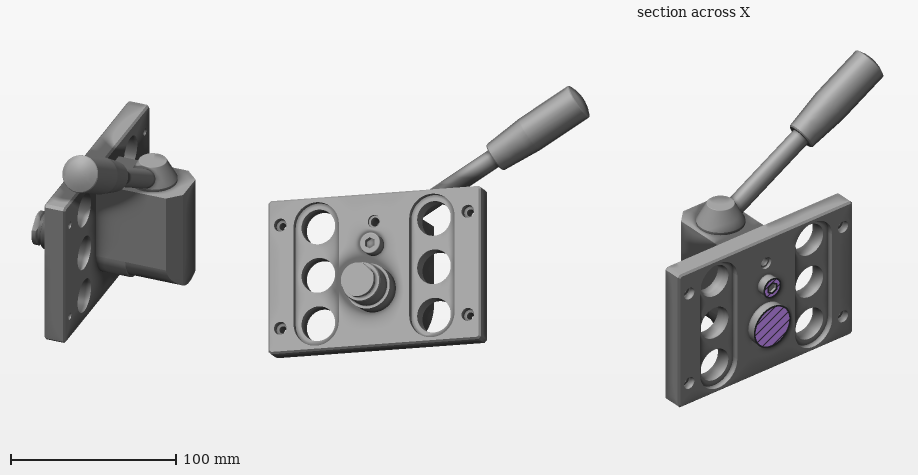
import cadquery as cq
import math


PLATE_THICKNESS = 14.0
PLATE_WIDTH = 136.0
PLATE_HEIGHT = 95.0
PLATE_CORNER_CHAMFER = 1.6
PLATE_RIM_CHAMFER = 1.2

WINDOW_DIAMETER = 21.5
WINDOW_PITCH = 30.0
WINDOW_COLUMN_Y = 37.0
RECESS_WIDTH = 29.0
RECESS_DEPTH = 4.0

MOUNT_Y = 60.0
MOUNT_Z = 32.0
MOUNT_HOLE_DIAMETER = 4.5
MOUNT_BORE_DIAMETER = 8.0
MOUNT_BORE_DEPTH = 5.0

BLOCK_WIDTH = 36.0
BLOCK_END_X = 67.6
BLOCK_TOP_Z = 38.0
BLOCK_CORNER_CHAMFER = 8.0
BELLY_STEP_X = 33.0
FRONT_BELLY_DROP = 18.0
REAR_BELLY_DROP = 16.2

PIN_Z = -12.5
PIN_LENGTH = 31.5
PIN_COLLAR_DIAMETER = 28.0
PIN_COLLAR_LENGTH = 11.5
PIN_BODY_DIAMETER = 24.5
PIN_BODY_END = 25.1
PIN_BODY_RIM_LENGTH = 1.2
PIN_BODY_RIM_TAPER = 0.4
PIN_NECK_DIAMETER = 19.3
PIN_NECK_START = 26.0
PIN_NECK_END = 27.9
PIN_NECK_ROOT_DIAMETER = 17.5
PIN_HEAD_START = 28.8
PIN_HEAD_DIAMETER = 21.0
PIN_HEAD_FLATS = 19.0
PIN_FLAT_ANGLE = 45.0

SCREW_Z = 15.0
SCREW_HEAD_DIAMETER = 13.0
SCREW_HEAD_HEIGHT = 8.0
SCREW_HEAD_FILLET = 0.6
SOCKET_ACROSS_FLATS = 6.0
SOCKET_DEPTH = 4.0
HEX_SIDES = 6

SMALL_HOLE_Z = 30.0
SMALL_HOLE_DIAMETER = 5.5
SMALL_BORE_DIAMETER = 8.0
SMALL_BORE_DEPTH = 2.0

HUB_X = 43.7
HUB_BASE_DIAMETER = 30.0
HUB_TOP_DIAMETER = 17.0
HUB_BASE_HEIGHT = 1.7
HUB_HEIGHT = 13.7
HUB_TOP_FILLET = 0.5

LEVER_ANGLE = 30.0
LEVER_AXIS_Z = 38.2
ROD_DIAMETER = 12.0
GRIP_START = 72.0
GRIP_TAPER_END = 98.0
GRIP_END = 133.9
GRIP_START_DIAMETER = 19.0
GRIP_DIAMETER = 23.0
GRIP_START_CHAMFER = 0.8
GRIP_RIM_CHAMFER = 0.5
GRIP_DOME_RISE = 2.7


def disc(diameter, start_x, length, y=0.0, z=0.0):
    """Cylinder along +X from start_x."""
    plane = cq.Workplane("YZ", origin=(start_x, y, z))
    return plane.circle(diameter / 2).extrude(length)


def make_plate():
    plate = cq.Workplane("XY").box(PLATE_THICKNESS, PLATE_WIDTH, PLATE_HEIGHT)
    plate = plate.translate((PLATE_THICKNESS / 2, 0, 0))
    plate = plate.edges("|X").chamfer(PLATE_CORNER_CHAMFER)
    return plate.faces("<X or >X").edges().chamfer(PLATE_RIM_CHAMFER)


def make_window_column(y):
    """Three through windows in a row, inside one shallow slot-shaped recess."""
    recess_length = 2 * WINDOW_PITCH + RECESS_WIDTH
    plane = cq.Workplane("YZ", origin=(0, y, 0))
    column = plane.slot2D(recess_length, RECESS_WIDTH, 90).extrude(RECESS_DEPTH)
    for row in (-1, 0, 1):
        column = column.union(disc(WINDOW_DIAMETER, 0, PLATE_THICKNESS, y, row * WINDOW_PITCH))
    return column


def make_counterbored_hole(diameter, bore_diameter, bore_depth, y, z):
    hole = disc(diameter, 0, PLATE_THICKNESS, y, z)
    return hole.union(disc(bore_diameter, 0, bore_depth, y, z))


def make_block_length(start_x, end_x, belly_drop):
    """Length of block: straight sides above the pin axis, an arched belly below it."""
    half_width = BLOCK_WIDTH / 2
    return (
        cq.Workplane("YZ", origin=(start_x, 0, 0))
        .moveTo(-half_width, PIN_Z)
        .threePointArc((0, PIN_Z - belly_drop), (half_width, PIN_Z))
        .lineTo(half_width, BLOCK_TOP_Z)
        .lineTo(-half_width, BLOCK_TOP_Z)
        .close()
        .extrude(end_x - start_x)
    )


def make_block():
    front = make_block_length(PLATE_THICKNESS, BELLY_STEP_X, FRONT_BELLY_DROP)
    rear = make_block_length(BELLY_STEP_X, BLOCK_END_X, REAR_BELLY_DROP)
    plan_length = BLOCK_END_X - PLATE_THICKNESS
    plan = (
        cq.Workplane("XY")
        .box(plan_length, BLOCK_WIDTH, 2 * PLATE_HEIGHT)
        .translate((PLATE_THICKNESS + plan_length / 2, 0, 0))
        .edges(">X and |Z")
        .chamfer(BLOCK_CORNER_CHAMFER)
    )
    return front.union(rear).intersect(plan)


def make_pin():
    collar_radius = PIN_COLLAR_DIAMETER / 2
    body_radius = PIN_BODY_DIAMETER / 2
    neck_radius = PIN_NECK_DIAMETER / 2
    neck_root_radius = PIN_NECK_ROOT_DIAMETER / 2
    head_radius = PIN_HEAD_DIAMETER / 2
    profile = [
        (0, 0),
        (0, collar_radius),
        (-PIN_COLLAR_LENGTH, collar_radius),
        (-PIN_COLLAR_LENGTH, body_radius),
        (-PIN_BODY_END + PIN_BODY_RIM_LENGTH, body_radius),
        (-PIN_BODY_END, body_radius - PIN_BODY_RIM_TAPER),
        (-PIN_BODY_END, neck_root_radius),
        (-PIN_NECK_START, neck_radius),
        (-PIN_NECK_END, neck_radius),
        (-PIN_HEAD_START, head_radius),
        (-PIN_LENGTH, head_radius),
        (-PIN_LENGTH, 0),
    ]
    pin = cq.Workplane("XZ").polyline(profile).close().revolve(360, (0, 0, 0), (1, 0, 0))
    return pin.cut(make_head_flats()).translate((0, 0, PIN_Z))


def make_head_flats():
    """Waste cut off two opposite sides of the pin head and its tapered underside."""
    head_length = PIN_LENGTH - PIN_NECK_END
    head = disc(PIN_COLLAR_DIAMETER, -PIN_LENGTH, head_length)
    keep = (
        cq.Workplane("XY")
        .box(head_length, PIN_HEAD_FLATS, PIN_COLLAR_DIAMETER)
        .translate((-PIN_LENGTH + head_length / 2, 0, 0))
        .rotate((0, 0, 0), (1, 0, 0), -PIN_FLAT_ANGLE)
    )
    return head.cut(keep)


def make_cap_screw():
    head = disc(SCREW_HEAD_DIAMETER, -SCREW_HEAD_HEIGHT, SCREW_HEAD_HEIGHT)
    head = head.faces("<X").edges().fillet(SCREW_HEAD_FILLET)
    socket_corners = SOCKET_ACROSS_FLATS / math.cos(math.pi / HEX_SIDES)
    socket = (
        cq.Workplane("YZ", origin=(-SCREW_HEAD_HEIGHT, 0, 0))
        .transformed(rotate=(0, 0, 90))
        .polygon(HEX_SIDES, socket_corners)
        .extrude(SOCKET_DEPTH)
    )
    return head.cut(socket).translate((0, 0, SCREW_Z))


def make_hub():
    base_radius = HUB_BASE_DIAMETER / 2
    top_radius = HUB_TOP_DIAMETER / 2
    hub = (
        cq.Workplane("XZ")
        .polyline([
            (0, 0),
            (base_radius, 0),
            (base_radius, HUB_BASE_HEIGHT),
            (top_radius, HUB_HEIGHT),
            (0, HUB_HEIGHT),
        ])
        .close()
        .revolve(360, (0, 0, 0), (0, 1, 0))
    )
    hub = hub.faces(">Z").edges().fillet(HUB_TOP_FILLET)
    return hub.translate((HUB_X, 0, BLOCK_TOP_Z))


def make_lever():
    """Rod and domed grip, tilted up by LEVER_ANGLE from the -Y direction."""
    rod_radius = ROD_DIAMETER / 2
    grip_radius = GRIP_DIAMETER / 2
    rim_radius = grip_radius - GRIP_RIM_CHAMFER
    dome_radius = (rim_radius**2 + GRIP_DOME_RISE**2) / (2 * GRIP_DOME_RISE)
    dome_top = GRIP_END + GRIP_RIM_CHAMFER + GRIP_DOME_RISE
    dome_mid_angle = math.asin(rim_radius / dome_radius) / 2
    dome_mid = (
        dome_radius * math.sin(dome_mid_angle),
        dome_top - dome_radius * (1 - math.cos(dome_mid_angle)),
    )
    rod = cq.Workplane("XY").circle(rod_radius).extrude(GRIP_START)
    grip = (
        cq.Workplane("XZ")
        .moveTo(0, GRIP_START)
        .lineTo(GRIP_START_DIAMETER / 2 - GRIP_START_CHAMFER, GRIP_START)
        .lineTo(GRIP_START_DIAMETER / 2, GRIP_START + GRIP_START_CHAMFER)
        .lineTo(grip_radius, GRIP_TAPER_END)
        .lineTo(grip_radius, GRIP_END)
        .lineTo(rim_radius, GRIP_END + GRIP_RIM_CHAMFER)
        .threePointArc(dome_mid, (0, dome_top))
        .close()
        .revolve(360, (0, 0, 0), (0, 1, 0))
    )
    lever = rod.union(grip).rotate((0, 0, 0), (1, 0, 0), 90 - LEVER_ANGLE)
    return lever.translate((HUB_X, 0, LEVER_AXIS_Z))


plate = make_plate()
for side in (-1, 1):
    plate = plate.cut(make_window_column(side * WINDOW_COLUMN_Y))
    for end in (-1, 1):
        plate = plate.cut(make_counterbored_hole(
            MOUNT_HOLE_DIAMETER, MOUNT_BORE_DIAMETER, MOUNT_BORE_DEPTH, side * MOUNT_Y, end * MOUNT_Z
        ))
plate = plate.cut(make_counterbored_hole(
    SMALL_HOLE_DIAMETER, SMALL_BORE_DIAMETER, SMALL_BORE_DEPTH, 0, SMALL_HOLE_Z
))

result = plate
for piece in (make_block(), make_pin(), make_cap_screw(), make_hub(), make_lever()):
    result = result.union(piece)